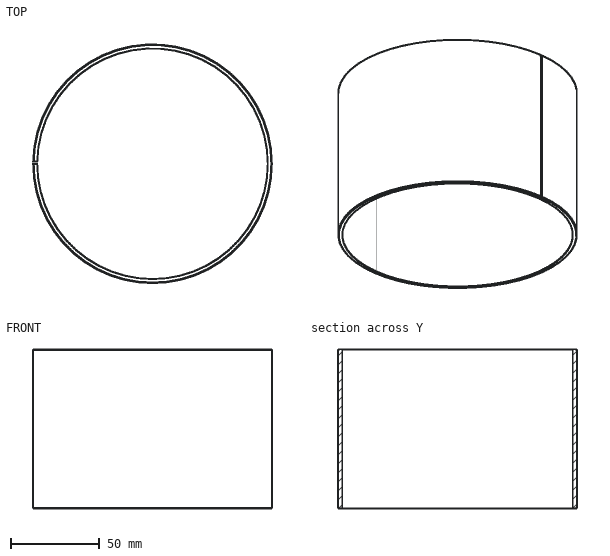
import cadquery as cq
import math

outer_diameter = 135.0
wall_thickness = 2.5
height = 90.0
outer_chamfer = 0.5
inner_chamfer = 0.2
slit_angle = 1.0

outer_radius = outer_diameter / 2
inner_radius = outer_radius - wall_thickness


def chamfered_cylinder(radius, chamfer):
    """Cylinder on the Z axis with both end edges chamfered inward."""
    return cq.Workplane("XY").circle(radius).extrude(height).edges("%CIRCLE").chamfer(chamfer)


def make_bore():
    """Cutter for the bore, flaring outward at both ends to chamfer the inner rims."""
    mouth_radius = inner_radius + inner_chamfer
    profile = [
        (0, 0),
        (mouth_radius, 0),
        (inner_radius, inner_chamfer),
        (inner_radius, height - inner_chamfer),
        (mouth_radius, height),
        (0, height),
    ]
    return cq.Workplane("XZ").polyline(profile).close().revolve(360, (0, 0), (0, 1))


def make_slit():
    """Full-height radial wedge that splits the wall from the -X axis toward +Y."""
    reach = outer_radius + wall_thickness
    spread = reach * math.tan(math.radians(slit_angle))
    wedge = [(0, 0), (-reach, 0), (-reach, spread)]
    return cq.Workplane("XY").polyline(wedge).close().extrude(height)


result = chamfered_cylinder(outer_radius, outer_chamfer).cut(make_bore()).cut(make_slit())